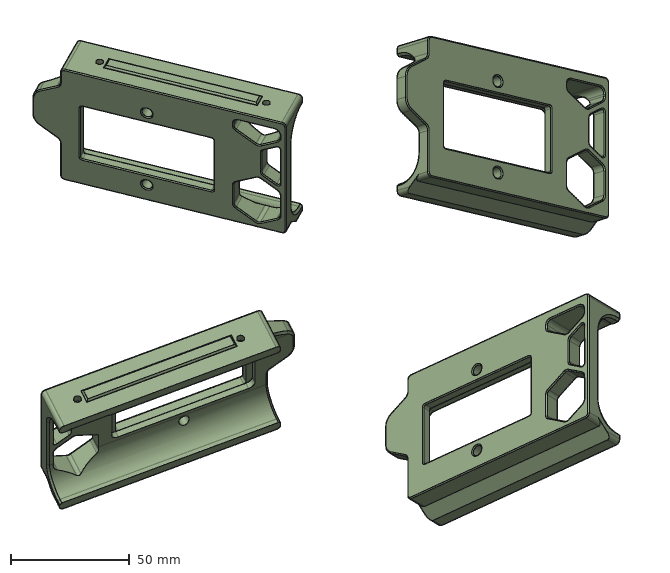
import cadquery as cq
import math

length = 114.0
depth = 20.0
body_left = 12.4
body_height = 65.8
body_radius = 2.0
plate_thickness = 7.0
edge_chamfer = 0.5
mid_y = depth / 2
mid_z = body_height / 2

flange_thickness = 5.0
cavity_radius = 11.1
cavity_chamfer = 1.0
cavity_straight = depth - plate_thickness - cavity_radius

foot_height = 4.2
foot_flat = 5.5
foot_slope = 37

hex_pitch = 25.0
hex_row = hex_pitch * math.sqrt(3) / 2
hex_flats = 22.0
hex_radius = 2.0
acute_corner_radius = 1.0
right_radius = 3.0
hex_x = 101.5
hex_low_z = 19.5
hex_mid_z = hex_low_z + hex_row
hex_top_z = hex_mid_z + hex_row
opening_right = length - 2.7
opening_top = body_height - 4.6

tab_flats = 27.9
tab_tip_radius = 6.0
tab_root_radius = 3.0
tab_half_tip = tab_flats / math.sqrt(3) / 2
tab_half_root = tab_half_tip + body_left / math.sqrt(3)

window_x = 51.4
window_width = 60.0
window_height = 29.2
window_radius = 1.0
window_thickness = 4.1
recess_side_margin = 3.0
recess_end_margin = 0.1
recess_radius = 3.0
screw_diameter = 4.7
screw_spacing = 40.0

rib_x = 64.0
rib_length = 69.1
rib_width = 6.0
rib_height = 1.0
rib_chamfer = 0.8
pin_diameter = 3.2
pin_spacing = 75.0
pin_depth = 4.0

select_gap = 0.1


def front_plane(y=0.0):
    """Plane parallel to the front face, with local x along X and local y along Z."""
    return cq.Workplane("XZ", origin=(0, y, 0))


def rounded_block(bottom, top):
    """Full-depth block of the body width with its edges along Y rounded."""
    block = cq.Workplane("XY", origin=(body_left, 0, bottom))
    block = block.box(length - body_left, depth, top - bottom, centered=False)
    return block.edges("|Y").fillet(body_radius)


def make_foot():
    """Lower rear block, cut away in front of the slope plane."""
    block = rounded_block(0, mid_z)
    slope_bottom_y = depth - foot_flat
    slope_top_y = slope_bottom_y - mid_z / math.tan(math.radians(foot_slope))
    front_cut = (
        cq.Workplane("YZ")
        .polyline([(slope_bottom_y, 0), (slope_top_y, mid_z), (slope_top_y, 0)])
        .close()
        .extrude(length)
    )
    return block.cut(front_cut)


def make_tab():
    """Tab that tapers to a flat tip, overlapping the body on its right side."""
    inside_x = body_left + plate_thickness
    tab = (
        front_plane()
        .polyline([
            (0, hex_mid_z - tab_half_tip),
            (body_left, hex_mid_z - tab_half_root),
            (inside_x, hex_mid_z - tab_half_root),
            (inside_x, hex_mid_z + tab_half_root),
            (body_left, hex_mid_z + tab_half_root),
            (0, hex_mid_z + tab_half_tip),
        ])
        .close()
        .extrude(-depth)
    )
    return tab.faces("<X").edges("|Y").fillet(tab_tip_radius)


def make_outer():
    """Solid outer shape: body with the tab blended in, plus the foot."""
    outer = rounded_block(foot_height, body_height).union(make_tab())
    tab_roots = cq.selectors.BoxSelector(
        (body_left - select_gap, 0, hex_mid_z - tab_half_root - select_gap),
        (body_left + select_gap, depth, hex_mid_z + tab_half_root + select_gap),
    )
    outer = outer.edges("|Y").edges(tab_roots).fillet(tab_root_radius)
    return outer.union(make_foot())


def cut_cavity(part):
    """Cut the round-cornered channel along X and chamfer its rim at both ends."""
    low = flange_thickness
    high = body_height - flange_thickness
    arc_y = depth - cavity_straight
    cavity = (
        cq.Workplane("YZ")
        .moveTo(depth, low)
        .lineTo(arc_y, low)
        .radiusArc((plate_thickness, low + cavity_radius), cavity_radius)
        .lineTo(plate_thickness, high - cavity_radius)
        .radiusArc((arc_y, high), cavity_radius)
        .lineTo(depth, high)
        .close()
        .extrude(length)
    )
    cavity_space = cq.selectors.BoxSelector(
        (-select_gap, plate_thickness - select_gap, low - select_gap),
        (length + select_gap, depth + select_gap, high + select_gap),
        boundingbox=True,
    )
    return part.cut(cavity).edges(cavity_space).edges("not |X").chamfer(cavity_chamfer)


def hex_opening(x, z, right_corner_radius):
    """Hexagonal opening trimmed by the right and top margins of the body."""
    hexagon = front_plane().center(x, z).transformed(rotate=(0, 0, 90))
    hexagon = hexagon.polygon(6, hex_flats * 2 / math.sqrt(3)).extrude(-depth)
    margins = cq.Workplane("XY").box(opening_right, depth, opening_top, centered=False)
    opening = hexagon.intersect(margins)
    left_corners = cq.selectors.BoxSelector(
        (0, 0, 0),
        (opening_right - select_gap, depth, opening_top + select_gap),
    )
    opening = opening.edges("|Y").edges(left_corners).fillet(hex_radius)
    return opening.faces(">X").edges("|Y").fillet(right_corner_radius)


def rectangular_opening(start_y, width, height, radius):
    """Opening centred on the window, from start_y towards the back."""
    opening = front_plane(start_y).center(window_x, mid_z).rect(width, height).extrude(-depth)
    return opening.edges("|Y").fillet(radius)


def make_screw_holes():
    holes = front_plane().center(window_x, mid_z).rarray(1.1, screw_spacing, 1, 2)
    return holes.circle(screw_diameter / 2).extrude(-depth)


def make_rib():
    rib = cq.Workplane("XY", origin=(rib_x, mid_y, body_height))
    rib = rib.rect(rib_length, rib_width).extrude(rib_height)
    return rib.faces(">Z").edges().chamfer(rib_chamfer)


def make_pin_holes():
    holes = cq.Workplane("XY", origin=(rib_x, mid_y, body_height)).rarray(pin_spacing, 1.1, 2, 1)
    return holes.circle(pin_diameter / 2).extrude(-pin_depth)


part = cut_cavity(make_outer())

part = part.cut(rectangular_opening(0, window_width, window_height, window_radius))
part = part.cut(
    rectangular_opening(
        window_thickness,
        window_width + 2 * recess_side_margin,
        window_height + 2 * recess_end_margin,
        recess_radius,
    )
)
part = part.cut(make_screw_holes())
part = part.cut(hex_opening(hex_x, hex_low_z, right_radius))
part = part.cut(hex_opening(hex_x + hex_pitch / 2, hex_mid_z, acute_corner_radius))
part = part.cut(hex_opening(hex_x, hex_top_z, right_radius))

part = part.faces("<Y").edges().chamfer(edge_chamfer)

result = part.union(make_rib()).cut(make_pin_holes())